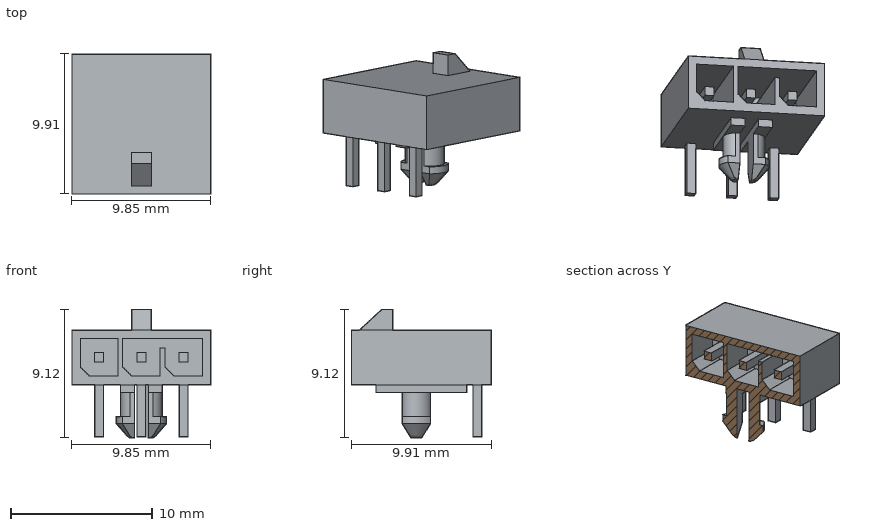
import cadquery as cq

BODY_WIDTH = 9.85
BODY_DEPTH = 9.91
BODY_HEIGHT = 3.87

PITCH = 3.0
PIN_COUNT = 3
PIN_SIZE = 0.64
PIN_AXIS_Z = 1.95
PIN_TAIL_Y = 3.97
PIN_TAIL_LENGTH = 3.69
PIN_TIP_SETBACK = 2.0

CAVITY_SIZE = 2.66
CAVITY_CHAMFER = 0.63
CAVITY_FLOOR_Z = 0.63
CAVITY_DEPTH = 7.5
PASSAGE_HEIGHT = 0.67

LATCH_WIDTH = 1.4
LATCH_HEIGHT = 1.48
LATCH_BACK_Y = -2.03
LATCH_CREST_Y = -2.8
LATCH_TOE_Y = -4.4

SLOT_HALF_WIDTH = 0.48
RAIL_OUTER_X = 1.49
RAIL_LENGTH = 6.44
RAIL_HEIGHT = 0.55
PEG_AXIS_X = 0.4
PEG_AXIS_Y = -0.36
PEG_WIDTH = 2.02
PEG_TIP_WIDTH = 0.75
SHANK_RADIUS = RAIL_OUTER_X - PEG_AXIS_X
COLLAR_RADIUS = 1.39
NOSE_RADIUS = 0.63
TIP_RADIUS = 0.43
COLLAR_TOP_Z = -2.26
COLLAR_BOTTOM_Z = -2.76
PEG_TIP_Z = -3.77
NOSE_HEIGHT = 0.15

FRONT_Y = -BODY_DEPTH / 2
POSITIONS = [(i - (PIN_COUNT - 1) / 2) * PITCH for i in range(PIN_COUNT)]


def box(x_range, y_range, z_range):
    """Axis-aligned block spanning the given ranges."""
    (x0, x1), (y0, y1), (z0, z1) = x_range, y_range, z_range
    return cq.Workplane("XY").box(x1 - x0, y1 - y0, z1 - z0, centered=False).translate((x0, y0, z0))


def housing():
    return box(
        (-BODY_WIDTH / 2, BODY_WIDTH / 2),
        (FRONT_Y, -FRONT_Y),
        (0, BODY_HEIGHT),
    )


def cavity(center_x):
    """Square pocket with its lower -X corner cut off as a polarising key."""
    left = center_x - CAVITY_SIZE / 2
    right = center_x + CAVITY_SIZE / 2
    top = CAVITY_FLOOR_Z + CAVITY_SIZE
    outline = [
        (left, top),
        (right, top),
        (right, CAVITY_FLOOR_Z),
        (left + CAVITY_CHAMFER, CAVITY_FLOOR_Z),
        (left, CAVITY_FLOOR_Z + CAVITY_CHAMFER),
    ]
    return (
        cq.Workplane("XZ", origin=(0, FRONT_Y, 0))
        .polyline(outline).close()
        .extrude(-CAVITY_DEPTH)
    )


def passage():
    """Opening over the low wall between the last two cavities."""
    top = CAVITY_FLOOR_Z + CAVITY_SIZE
    return box(
        (POSITIONS[-2], POSITIONS[-1]),
        (FRONT_Y, FRONT_Y + CAVITY_DEPTH),
        (top - PASSAGE_HEIGHT, top),
    )


def contact(center_x):
    """Right-angle pin: a blade along Y and a solder tail pointing down."""
    half = PIN_SIZE / 2
    x_range = (center_x - half, center_x + half)
    blade = box(
        x_range,
        (FRONT_Y + PIN_TIP_SETBACK, PIN_TAIL_Y + half),
        (PIN_AXIS_Z - half, PIN_AXIS_Z + half),
    )
    tail = box(
        x_range,
        (PIN_TAIL_Y - half, PIN_TAIL_Y + half),
        (-PIN_TAIL_LENGTH, PIN_AXIS_Z),
    )
    return blade.union(tail)


def latch():
    profile = [
        (LATCH_BACK_Y, BODY_HEIGHT),
        (LATCH_BACK_Y, BODY_HEIGHT + LATCH_HEIGHT),
        (LATCH_CREST_Y, BODY_HEIGHT + LATCH_HEIGHT),
        (LATCH_TOE_Y, BODY_HEIGHT),
    ]
    return cq.Workplane("YZ").polyline(profile).close().extrude(LATCH_WIDTH / 2, both=True)


def rail():
    """Standoff rail on the +X side of the slot."""
    return box(
        (SLOT_HALF_WIDTH, RAIL_OUTER_X),
        (-RAIL_LENGTH / 2, RAIL_LENGTH / 2),
        (-RAIL_HEIGHT, 0),
    )


def peg():
    """Snap peg on the +X side: a turned barb with a blunted nose, trimmed flat on three sides."""
    turned_profile = [
        (0, 0),
        (SHANK_RADIUS, 0),
        (SHANK_RADIUS, COLLAR_TOP_Z),
        (COLLAR_RADIUS, COLLAR_TOP_Z),
        (COLLAR_RADIUS, COLLAR_BOTTOM_Z),
        (NOSE_RADIUS, PEG_TIP_Z + NOSE_HEIGHT),
        (TIP_RADIUS, PEG_TIP_Z),
        (0, PEG_TIP_Z),
    ]
    turned = (
        cq.Workplane("XZ")
        .polyline(turned_profile).close()
        .revolve(360, (0, 0, 0), (0, 1, 0))
        .translate((PEG_AXIS_X, PEG_AXIS_Y, 0))
    )
    half = PEG_WIDTH / 2
    tip_half = PEG_TIP_WIDTH / 2
    side_profile = [
        (PEG_AXIS_Y - half, 0),
        (PEG_AXIS_Y - half, COLLAR_BOTTOM_Z),
        (PEG_AXIS_Y - tip_half, PEG_TIP_Z),
        (PEG_AXIS_Y + tip_half, PEG_TIP_Z),
        (PEG_AXIS_Y + half, COLLAR_BOTTOM_Z),
        (PEG_AXIS_Y + half, 0),
    ]
    envelope = (
        cq.Workplane("YZ", origin=(SLOT_HALF_WIDTH, 0, 0))
        .polyline(side_profile).close()
        .extrude(PEG_AXIS_X + COLLAR_RADIUS)
    )
    return turned.intersect(envelope)


result = housing().cut(passage())
for x in POSITIONS:
    result = result.cut(cavity(x))
for x in POSITIONS:
    result = result.union(contact(x))
result = result.union(latch())
for mount in (rail(), peg()):
    result = result.union(mount).union(mount.mirror("YZ"))